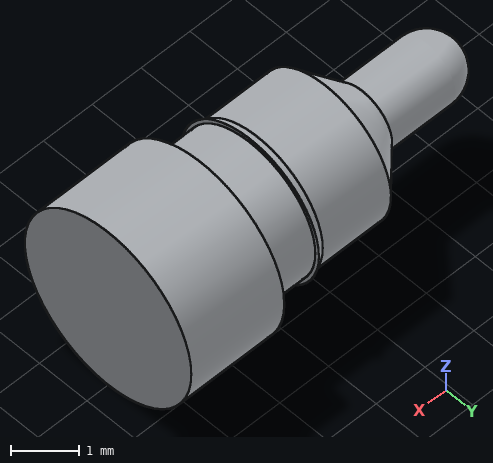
import cadquery as cq
import math

overall_length = 7.1374

pin_diameter = 1.2446
barrel_diameter = 2.7432
barb_diameter = 2.8956
head_diameter = 3.5052

pin_length = 1.9304
shoulder_to_barb = 1.397
barb_length = 0.1524
head_length = 1.905

pin_radius = pin_diameter / 2
barrel_radius = barrel_diameter / 2
barb_radius = barb_diameter / 2
head_radius = head_diameter / 2

dome_end = pin_radius
cone_start = pin_length
cone_end = cone_start + barrel_radius - pin_radius
barb_start = cone_end + shoulder_to_barb
barb_end = barb_start + barb_length
head_start = overall_length - head_length

half_chord = pin_radius * math.sqrt(0.5)
dome_middle = (dome_end - half_chord, half_chord)

profile = (
    cq.Workplane("XY")
    .moveTo(0, 0)
    .threePointArc(dome_middle, (dome_end, pin_radius))
    .lineTo(cone_start, pin_radius)
    .lineTo(cone_end, barrel_radius)
    .lineTo(barb_start, barrel_radius)
    .lineTo(barb_end, barb_radius)
    .lineTo(barb_end, barrel_radius)
    .lineTo(head_start, barrel_radius)
    .lineTo(head_start, head_radius)
    .lineTo(overall_length, head_radius)
    .lineTo(overall_length, 0)
    .close()
)

result = profile.revolve(360, (0, 0, 0), (1, 0, 0))